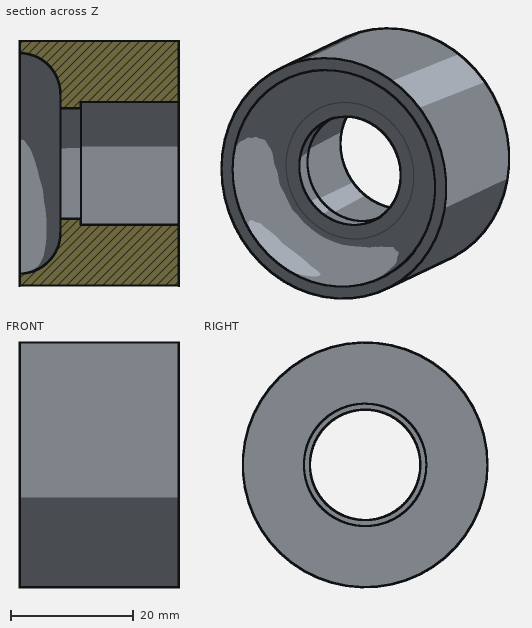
import cadquery as cq
import math

outer_diameter = 40.0
length = 26.0
rear_face_x = length / 2
front_face_x = -rear_face_x

recess_mouth_diameter = 36.0
recess_radius = 6.65
recess_floor_x = front_face_x + recess_radius
floor_edge_radius = recess_mouth_diameter / 2 - recess_radius

bore_diameter = 18.0
bore_step_depth = 10.0
bore_step_x = front_face_x + bore_step_depth
rear_bore_diameter = 20.0


def turned_body():
    """Revolve the half section, drawn as (x, radius), about the X axis."""
    arc_middle = (
        front_face_x + recess_radius * math.sin(math.pi / 4),
        floor_edge_radius + recess_radius * math.cos(math.pi / 4),
    )
    section = (
        cq.Workplane("XY")
        .moveTo(front_face_x, outer_diameter / 2)
        .lineTo(front_face_x, recess_mouth_diameter / 2)
        .threePointArc(arc_middle, (recess_floor_x, floor_edge_radius))
        .lineTo(recess_floor_x, bore_diameter / 2)
        .lineTo(bore_step_x, bore_diameter / 2)
        .lineTo(bore_step_x, rear_bore_diameter / 2)
        .lineTo(rear_face_x, rear_bore_diameter / 2)
        .lineTo(rear_face_x, outer_diameter / 2)
        .close()
    )
    return section.revolve(360, (0, 0, 0), (1, 0, 0))


result = turned_body()